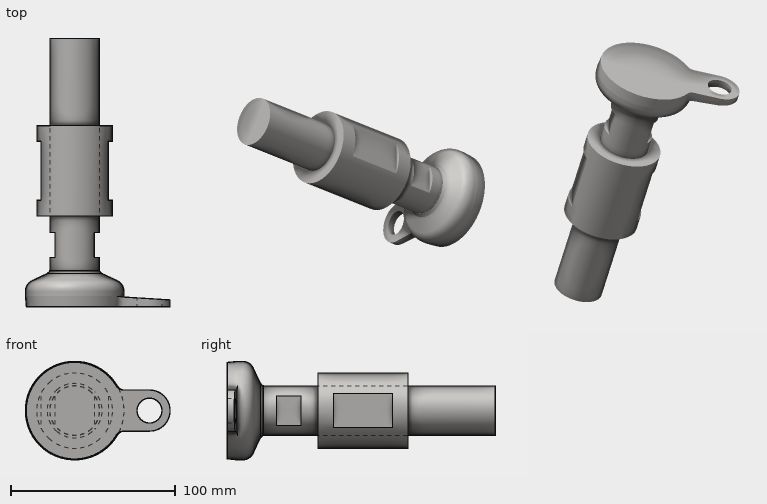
import cadquery as cq
import math

total_length = 163.0
rod_radius = 15.0
rod_flat_half_width = 12.0
rod_flat_start = 30.0
rod_flat_end = 45.0

sleeve_radius = 23.0
sleeve_start = 55.1
sleeve_length = 55.0
sleeve_flat_half_width = 20.5
sleeve_flat_margin = 9.6

foot_height = 22.2
neck_lip_height = 0.5
neck_lip_radius = 15.2
neck_radius = 16.6
neck_height = 20.2
dome_radius = 7.3
foot_radius = 30.0
rim_top_height = 9.3
rim_bottom_height = 6.5
base_radius = 29.3

lug_radius = 12.5
lug_center_x = 45.5
lug_hole_radius = 7.5
lug_root_height = 6.2
lug_tip_height = 4.2
lug_fillet = 4.9


def cylinder_along_y(radius, start, length, x=0.0):
    """Cylinder parallel to Y, beginning at Y = start."""
    return cq.Workplane("XZ", origin=(x, start, 0)).circle(radius).extrude(-length)


def cut_wrench_flats(body, radius, half_width, start, end):
    """Mill two opposite flats, facing -X and +X, between two Y positions."""
    length = end - start
    for side in (-1, 1):
        cutter = (
            cq.Workplane("XY")
            .box(radius, length, 2 * radius)
            .translate((side * (half_width + radius / 2), start + length / 2, 0))
        )
        body = body.cut(cutter)
    return body


def make_rod():
    rod = cylinder_along_y(rod_radius, foot_height, total_length - foot_height)
    return cut_wrench_flats(rod, rod_radius, rod_flat_half_width, rod_flat_start, rod_flat_end)


def make_sleeve():
    sleeve = cylinder_along_y(sleeve_radius, sleeve_start, sleeve_length)
    sleeve = cut_wrench_flats(
        sleeve,
        sleeve_radius,
        sleeve_flat_half_width,
        sleeve_start + sleeve_flat_margin,
        sleeve_start + sleeve_length - sleeve_flat_margin,
    )
    return sleeve.cut(cylinder_along_y(rod_radius, sleeve_start, sleeve_length))


def make_foot_disc():
    """Turned disc whose shoulder cone runs tangentially into the rounded dome."""
    dome_center_x = foot_radius - dome_radius
    neck_dx = neck_radius - dome_center_x
    neck_dy = neck_height - rim_top_height
    tangent_angle = math.atan2(neck_dy, neck_dx) - math.acos(dome_radius / math.hypot(neck_dx, neck_dy))

    def dome_point(angle):
        return (
            dome_center_x + dome_radius * math.cos(angle),
            rim_top_height + dome_radius * math.sin(angle),
        )

    return (
        cq.Workplane("XY")
        .moveTo(0, 0)
        .lineTo(base_radius, 0)
        .lineTo(foot_radius, rim_bottom_height)
        .lineTo(foot_radius, rim_top_height)
        .threePointArc(dome_point(tangent_angle / 2), dome_point(tangent_angle))
        .lineTo(neck_radius, neck_height)
        .lineTo(neck_lip_radius, foot_height - neck_lip_height)
        .lineTo(neck_lip_radius, foot_height)
        .lineTo(0, foot_height)
        .close()
        .revolve(360, (0, 0, 0), (0, 1, 0))
    )


def make_lug():
    """Straight ear with a round end, its top sloping down towards the tip."""
    root_x = math.sqrt(base_radius**2 - lug_radius**2)
    tip_x = lug_center_x + lug_radius
    slope = (lug_root_height - lug_tip_height) / (tip_x - root_x)
    axis_height = lug_root_height + slope * root_x
    side_profile = (
        cq.Workplane("XY")
        .polyline([(0, 0), (tip_x, 0), (tip_x, lug_tip_height), (0, axis_height)])
        .close()
        .extrude(lug_radius, both=True)
    )
    outline = (
        cq.Workplane("XZ")
        .moveTo(0, -lug_radius)
        .lineTo(lug_center_x, -lug_radius)
        .threePointArc((tip_x, 0), (lug_center_x, lug_radius))
        .lineTo(0, lug_radius)
        .close()
        .extrude(-foot_height)
    )
    return side_profile.intersect(outline)


def make_foot():
    foot = make_foot_disc().union(make_lug())
    corner_x = math.sqrt(base_radius**2 - lug_radius**2)
    corner_zone = cq.selectors.BoxSelector(
        (corner_x - lug_fillet / 2, 0.1 * lug_root_height, -foot_radius),
        (corner_x + lug_fillet / 2, 0.9 * lug_root_height, foot_radius),
    )
    foot = foot.edges(corner_zone).fillet(lug_fillet)
    bolt_hole = cylinder_along_y(lug_hole_radius, 0, foot_height, lug_center_x)
    return foot.cut(bolt_hole)


footed_stem = make_foot().union(make_rod())
sleeve = make_sleeve()

result = cq.Compound.makeCompound([footed_stem.val(), sleeve.val()])